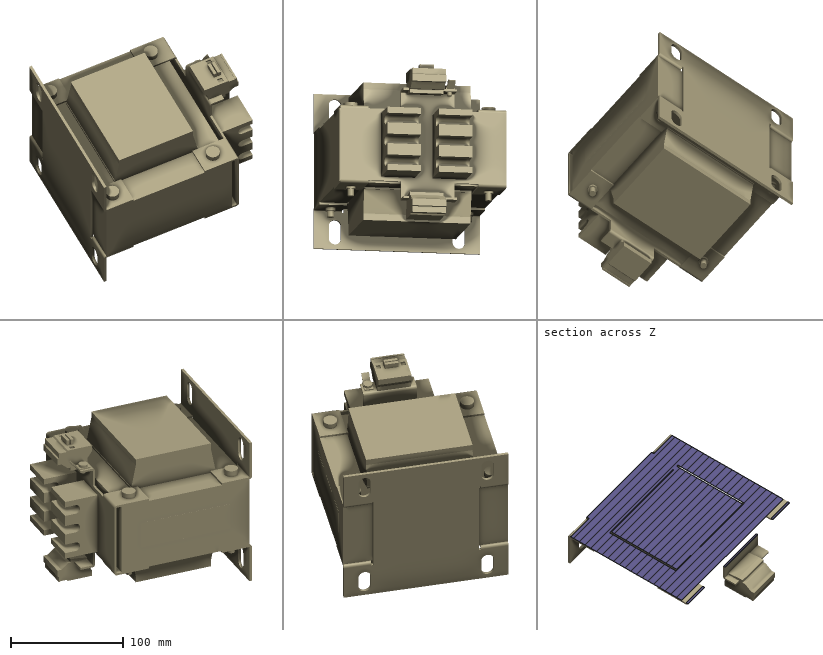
import cadquery as cq
import math


width = 150.0
half_width = width / 2
total_depth = 165.8
total_height = 141.0

core_half_height = 33.3
core_rear = 127.0
leg_inner = 49.9
window_front = 27.8
window_rear = 101.8

plate_thickness = 2.5
plate_height = 140.0
relief_inner = 48.0
relief_half_height = 36.8
slot_x = 56.0
slot_z = 54.7
slot_width = 11.1
slot_length = 22.0

sheet = 2.0
bend_radius = 2.7
inner_bend_radius = bend_radius - sheet
tab_outer_z = core_half_height + sheet
front_tab_end = 29.3
rear_tab_end = 100.1
wall_rear = 134.1
wall_front = wall_rear - sheet

coil_half_width = 48.5
coil_half_height = 62.3
coil_front = 28.2
coil_rear = 101.5
coil_flare = 4.3
coil_rim = 5.0
coil_rim_height = 1.7
coil_taper_z = 56.4

bolt_x = 62.3
bolt_tip_z = -43.6
rear_bolt = (114.4, 12.5, 40.5, 8.6, -37.1, 5.8)
front_bolt = (14.6, 12.1, 41.1, 9.1, -38.0, 6.5)

label_front = 20.9
label_rear = 108.5
label_height = 25.0
label_thickness = 0.1
label_corner = 1.5

comb_inner = 8.0
comb_outer = 38.5
comb_z = -0.3
comb_height = 57.3
comb_pitch = 18.9
comb_slot_width = 8.6
comb_slot_depth = 14.5

shelf_left = -28.2
shelf_right = 20.5
shelf_outer_z = 50.0
shelf_end = 146.2

terminal_half_width = 15.2
terminal_top = 66.1
marker_half_width = 6.3
marker_top = total_height - plate_height / 2
marker_thickness = 2.8
marker_y = (144.5, 148.5)
pocket_x = 11.3
pocket_y = 147.0
pocket_width = 4.1
pocket_length = 4.6
pocket_depth = 1.7
gap_pocket_x = 4.0
gap_pocket_width = 3.1

earth_x = -22.2
earth_y = 141.0
earth_head_diameter = 8.1
earth_head_top = 53.9
earth_shank_diameter = 4.3
earth_shank_bottom = 45.0
lug_width = 8.1
lug_front = 135.7
lug_thickness = 1.3
blade_width = 7.0
blade_length = 8.5
blade_thickness = 0.8
blade_overlap = 1.0
blade_angle = 46


def block(x_range, y_range, z_range):
    """Box given by its limits along the three axes."""
    limits = (x_range, y_range, z_range)
    size = [high - low for low, high in limits]
    centre = tuple((high + low) / 2 for low, high in limits)
    return cq.Workplane("XY").box(*size).translate(centre)


def extrude_along_x(points, x_start, x_end):
    """Closed Y-Z outline swept from x_start to x_end."""
    outline = cq.Workplane("YZ", origin=(x_start, 0, 0)).polyline(points).close()
    return outline.extrude(x_end - x_start)


def post(x, y, diameter, z_low, z_high):
    """Vertical cylinder."""
    return cq.Workplane("XY", origin=(x, y, z_low)).circle(diameter / 2).extrude(z_high - z_low)


def both_sides(solid, plane):
    """A solid together with its mirror image."""
    return solid.union(solid.mirror(plane))


def folded_strip(x_range, corner, flange_end, wall_end, wall_thickness):
    """L-shaped strip: a wall along Z and a flange along Y meeting in a rounded bend."""
    y, z = corner
    inner_y = y + math.copysign(wall_thickness, flange_end - y)
    inner_z = z + math.copysign(sheet, wall_end - z)
    points = [
        (y, z),
        (flange_end, z),
        (flange_end, inner_z),
        (inner_y, inner_z),
        (inner_y, wall_end),
        (y, wall_end),
    ]
    strip = extrude_along_x(points, *x_range)
    middle_x = sum(x_range) / 2
    strip = strip.edges(cq.NearestToPointSelector((middle_x, y, z))).fillet(bend_radius)
    return strip.edges(cq.NearestToPointSelector((middle_x, inner_y, inner_z))).fillet(inner_bend_radius)


def make_core():
    """Rectangular core with one window through it for the coil."""
    z_range = (-core_half_height, core_half_height)
    body = block((-half_width, half_width), (plate_thickness, core_rear), z_range)
    return body.cut(block((-leg_inner, leg_inner), (window_front, window_rear), z_range))


def make_coil():
    """Coil filling the window, flared towards a thin rim that rests on the core yokes."""
    rim_top = core_half_height + coil_rim_height
    x_range = (-coil_half_width, coil_half_width)
    z_range = (-coil_half_height, coil_half_height)
    body = block(x_range, (coil_front, coil_rear), z_range)
    flare_points = [
        (coil_front - coil_flare, rim_top),
        (coil_rear + coil_flare, rim_top),
        (coil_rear, coil_taper_z),
        (coil_front, coil_taper_z),
    ]
    flare = extrude_along_x(flare_points, *x_range)
    rim = block(x_range, (coil_front - coil_rim, coil_rear + coil_rim), (core_half_height, rim_top))
    return body.union(both_sides(flare.union(rim), "XY"))


def make_mounting_plate():
    """Slotted plate with two side windows whose tabs are folded back over the core."""
    half_height = plate_height / 2
    plate = block((-half_width, half_width), (0, plate_thickness), (-half_height, half_height))
    window = block(
        (relief_inner, half_width), (0, plate_thickness), (-relief_half_height, relief_half_height)
    )
    plate = plate.cut(both_sides(window, "YZ"))
    slots = (
        cq.Workplane("XZ")
        .rect(2 * slot_x, 2 * slot_z, forConstruction=True)
        .vertices()
        .slot2D(slot_length, slot_width, 90)
        .extrude(-plate_thickness)
    )
    tab = folded_strip(
        (leg_inner, half_width), (0, core_half_height), front_tab_end, relief_half_height, plate_thickness
    )
    return plate.cut(slots).union(both_sides(both_sides(tab, "XY"), "YZ"))


def make_rear_bracket():
    """Rear wall with corner tabs over the core and two shelves for the terminals."""
    wall_half_height = tab_outer_z - bend_radius
    wall = block((-leg_inner, leg_inner), (wall_front, wall_rear), (-wall_half_height, wall_half_height))
    tab = folded_strip((leg_inner, half_width), (wall_rear, tab_outer_z), rear_tab_end, 0, sheet)
    shelf = folded_strip(
        (shelf_left, shelf_right), (wall_front, shelf_outer_z), shelf_end, 0, sheet
    )
    return wall.union(both_sides(both_sides(tab, "XY"), "YZ")).union(both_sides(shelf, "XY"))


def make_bolt(x, y, head_diameter, head_top, nut_diameter, nut_bottom, shank_diameter):
    """Clamping bolt with a round head above the core and a round nut below it."""
    head = post(x, y, head_diameter, tab_outer_z, head_top)
    nut = post(x, y, nut_diameter, nut_bottom, -tab_outer_z)
    shank = post(x, y, shank_diameter, bolt_tip_z, tab_outer_z)
    return shank.union(head).union(nut)


def make_label():
    """Thin rounded label on the -X side of the core."""
    label = block(
        (-half_width - label_thickness, -half_width),
        (label_front, label_rear),
        (-label_height / 2, label_height / 2),
    )
    return label.edges("|X").fillet(label_corner)


def make_comb():
    """Pair of blocks behind the bracket with three open round-ended slots."""
    z_range = (comb_z - comb_height / 2, comb_z + comb_height / 2)
    comb = block((comb_inner, comb_outer), (wall_rear, total_depth), z_range)
    slots = (
        cq.Workplane("YZ")
        .center(total_depth, comb_z)
        .rarray(1.7, comb_pitch, 1, 3)
        .slot2D(2 * comb_slot_depth, comb_slot_width)
        .extrude(comb_outer)
    )
    return both_sides(comb.cut(slots), "YZ")


def make_terminal():
    """Terminal block body clipped onto a shelf."""
    ledge_z = 64.8
    points = [
        (152.8, terminal_top),
        (129.5, terminal_top),
        (129.5, 60.2),
        (133.5, 54.5),
        (133.5, 46.5),
        (145.7, 45.0),
        (150.0, 45.0),
        (150.0, 48.2),
        (152.8, 48.2),
        (159.0, 53.4),
        (163.0, 53.4),
        (163.0, 59.5),
        (161.6, 60.2),
        (161.6, 65.3),
        (159.8, 65.3),
        (159.8, ledge_z),
        (153.8, ledge_z),
    ]
    return extrude_along_x(points, -terminal_half_width, terminal_half_width)


def make_upper_terminal():
    """Terminal with two upright marker strips and shallow pockets on top."""
    terminal = make_terminal()
    for y in marker_y:
        terminal = terminal.union(
            block(
                (-marker_half_width, marker_half_width),
                (y - marker_thickness / 2, y + marker_thickness / 2),
                (terminal_top, marker_top),
            )
        )
    pockets = (
        cq.Workplane("XY", origin=(0, pocket_y, terminal_top))
        .pushPoints([(-pocket_x, 0), (pocket_x, 0)])
        .rect(pocket_width, pocket_length)
        .extrude(-pocket_depth)
    )
    gap_length = marker_y[1] - marker_y[0] - marker_thickness
    gap_pockets = (
        cq.Workplane("XY", origin=(0, sum(marker_y) / 2, terminal_top))
        .pushPoints([(-gap_pocket_x, 0), (gap_pocket_x, 0)])
        .rect(gap_pocket_width, gap_length)
        .extrude(-pocket_depth)
    )
    return terminal.cut(pockets).cut(gap_pockets)


def make_earth_screw():
    """Earth screw clamping a lug with a raised slanted blade on the upper shelf."""
    lug_top = shelf_outer_z + lug_thickness
    lug_x = (earth_x - lug_width / 2, earth_x + lug_width / 2)
    lug = block(lug_x, (lug_front, shelf_end), (shelf_outer_z, lug_top))
    head = post(earth_x, earth_y, earth_head_diameter, lug_top, earth_head_top)
    shank = post(earth_x, earth_y, earth_shank_diameter, earth_shank_bottom, lug_top)
    blade = (
        block((-blade_width / 2, blade_width / 2), (-blade_overlap, blade_length), (-blade_thickness, 0))
        .rotate((0, 0, 0), (1, 0, 0), blade_angle)
        .translate((earth_x, shelf_end, lug_top))
    )
    return lug.union(head).union(shank).union(blade)


result = make_core().union(make_coil()).union(make_mounting_plate()).union(make_rear_bracket())
for side in (-1, 1):
    for bolt in (rear_bolt, front_bolt):
        result = result.union(make_bolt(side * bolt_x, *bolt))
result = (
    result.union(make_label())
    .union(make_comb())
    .union(make_upper_terminal())
    .union(make_terminal().mirror("XY"))
    .union(make_earth_screw())
)